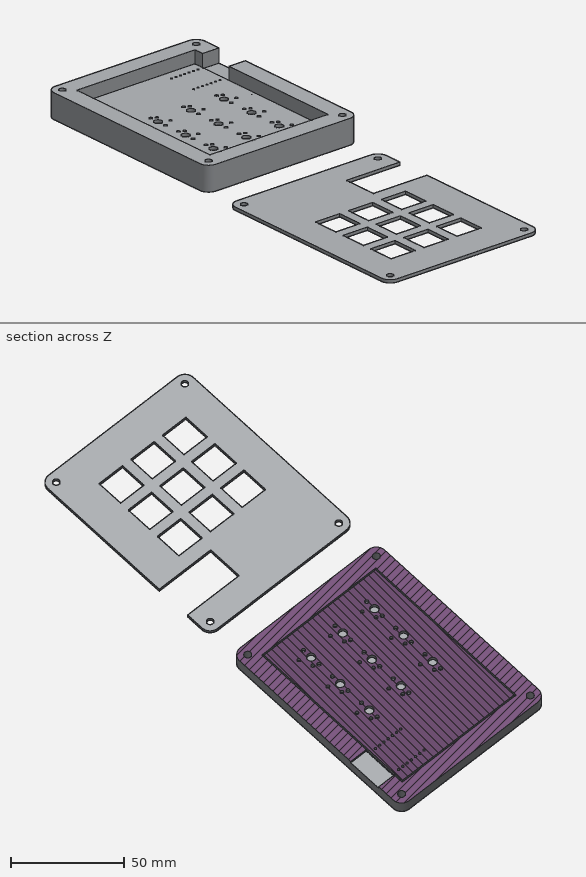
import cadquery as cq

TOTAL_LENGTH = 237.8
TOTAL_WIDTH = 89.2
PANEL_LENGTH = 110.5
PANEL_WIDTH = 87.3
CORNER_RADIUS = 5.0
SCREW_HOLE_DIAMETER = 3.3

CASE_LEFT = 0.0
CASE_REAR = TOTAL_WIDTH
CASE_HEIGHT = 13.0
WALL = 9.5
CAVITY_FLOOR_Z = 5.0
SLOT_LEFT = 14.7
SLOT_WIDTH = 18.0
SLOT_FLOOR_Z = 5.7

BOARD_THICKNESS = 1.6
BOARD_GAP = 0.5
BOARD_INSET = WALL + BOARD_GAP

KEYS_PER_SIDE = 3
KEY_PITCH = 19.0
PIN_GRID = KEY_PITCH / 7.5

BOARD_KEY_X = 47.5
BOARD_KEY_DEPTH = 24.7
POST_DIAMETER = 4.0
GUIDE_DIAMETER = 1.7
CONTACT_DIAMETER = 1.5

HEADER_PIN_DIAMETER = 0.88
HEADER_ROWS = 2
HEADER_PINS_PER_ROW = 7
HEADER_ROW_SPACING = 6 * PIN_GRID
HEADER_X = 15.5
HEADER_DEPTH = 12.8

PLATE_LEFT = TOTAL_LENGTH - PANEL_LENGTH
PLATE_REAR = PANEL_WIDTH
PLATE_THICKNESS = 1.7
PLATE_KEY_X = 47.0
PLATE_KEY_DEPTH = 25.5
KEY_OPENING = 14.0
NOTCH_LEFT = 14.3
NOTCH_WIDTH = 18.5
NOTCH_DEPTH = 31.0


def block(left, rear, bottom, length, width, height):
    """A box placed by its left, rear and bottom sides."""
    box = cq.Workplane("XY").box(length, width, height, centered=False)
    return box.translate((left, rear - width, bottom))


def drill(body, points, diameter):
    """Cut round holes all the way through a body."""
    drills = cq.Workplane("XY").pushPoints(points).circle(diameter / 2).extrude(CASE_HEIGHT)
    return body.cut(drills)


def rounded_panel(left, rear, height):
    """The shared outline, with a screw hole at the centre of each corner arc."""
    panel = block(left, rear, 0, PANEL_LENGTH, PANEL_WIDTH, height)
    panel = panel.edges("|Z").fillet(CORNER_RADIUS)
    screw_xs = (left + CORNER_RADIUS, left + PANEL_LENGTH - CORNER_RADIUS)
    screw_ys = (rear - CORNER_RADIUS, rear - PANEL_WIDTH + CORNER_RADIUS)
    return drill(panel, [(x, y) for x in screw_xs for y in screw_ys], SCREW_HOLE_DIAMETER)


def key_centres(first_x, first_y):
    """Centres of the key grid, running right and forward from the left rear key."""
    steps = [i * KEY_PITCH for i in range(KEYS_PER_SIDE)]
    return [(first_x + dx, first_y - dy) for dx in steps for dy in steps]


def make_case():
    """Open tray with a cable slot through its rear wall."""
    case = rounded_panel(CASE_LEFT, CASE_REAR, CASE_HEIGHT)
    cavity = block(
        CASE_LEFT + WALL,
        CASE_REAR - WALL,
        CAVITY_FLOOR_Z,
        PANEL_LENGTH - 2 * WALL,
        PANEL_WIDTH - 2 * WALL,
        CASE_HEIGHT - CAVITY_FLOOR_Z,
    )
    slot = block(
        CASE_LEFT + SLOT_LEFT,
        CASE_REAR,
        SLOT_FLOOR_Z,
        SLOT_WIDTH,
        WALL,
        CASE_HEIGHT - SLOT_FLOOR_Z,
    )
    return case.cut(cavity).cut(slot)


def drill_switch_holes(board):
    """For each switch: a centre post, a guide on either side and two contacts behind."""
    keys = key_centres(CASE_LEFT + BOARD_KEY_X, CASE_REAR - BOARD_KEY_DEPTH)
    guides = [(x + side * 2 * PIN_GRID, y) for x, y in keys for side in (-1, 1)]
    left_contacts = [(x - 1.5 * PIN_GRID, y + PIN_GRID) for x, y in keys]
    right_contacts = [(x + PIN_GRID, y + 2 * PIN_GRID) for x, y in keys]
    board = drill(board, keys, POST_DIAMETER)
    board = drill(board, guides, GUIDE_DIAMETER)
    return drill(board, left_contacts + right_contacts, CONTACT_DIAMETER)


def drill_header_holes(board):
    """Two rows of pin holes for the controller, running forward from the slot."""
    first_x = CASE_LEFT + HEADER_X
    first_y = CASE_REAR - HEADER_DEPTH
    pins = [
        (first_x + row * HEADER_ROW_SPACING, first_y - pin * PIN_GRID)
        for row in range(HEADER_ROWS)
        for pin in range(HEADER_PINS_PER_ROW)
    ]
    return drill(board, pins, HEADER_PIN_DIAMETER)


def make_board():
    """Flat circuit board with the switch and header holes."""
    board = block(
        CASE_LEFT + BOARD_INSET,
        CASE_REAR - BOARD_INSET,
        CAVITY_FLOOR_Z,
        PANEL_LENGTH - 2 * BOARD_INSET,
        PANEL_WIDTH - 2 * BOARD_INSET,
        BOARD_THICKNESS,
    )
    return drill_header_holes(drill_switch_holes(board))


def make_plate():
    """Cover plate with a square opening per key and a notch in its rear edge."""
    plate = rounded_panel(PLATE_LEFT, PLATE_REAR, PLATE_THICKNESS)
    keys = key_centres(PLATE_LEFT + PLATE_KEY_X, PLATE_REAR - PLATE_KEY_DEPTH)
    openings = cq.Workplane("XY").pushPoints(keys).rect(KEY_OPENING, KEY_OPENING).extrude(PLATE_THICKNESS)
    notch = block(PLATE_LEFT + NOTCH_LEFT, PLATE_REAR, 0, NOTCH_WIDTH, NOTCH_DEPTH, PLATE_THICKNESS)
    return plate.cut(openings).cut(notch)


case = make_case().solids()
board = make_board().solids()
plate = make_plate().solids()

result = cq.Compound.makeCompound([case.val(), board.val(), plate.val()])